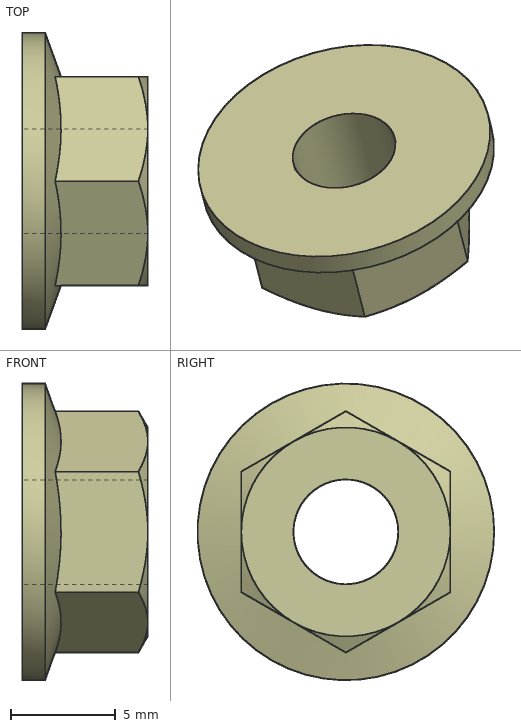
import cadquery as cq
import math

flange_diameter = 14.2
flange_rim_thickness = 1.1
flange_slope_angle = 20.0
nut_height = 6.0
across_flats = 10.0
chamfer_angle = 30.0
bore_diameter = 5.0

flange_radius = flange_diameter / 2
flat_radius = across_flats / 2
corner_radius = flat_radius / math.cos(math.radians(30))
bore_radius = bore_diameter / 2


def revolve_about_x(profile):
    """Turn a closed (x, radius) profile into a solid of revolution about X."""
    return cq.Workplane("XY").polyline(profile).close().revolve(360, (0, 0, 0), (1, 0, 0))


def make_flange():
    """Round flange whose conical back face rises towards the hexagon."""
    cone_rise = (flange_radius - bore_radius) * math.tan(math.radians(flange_slope_angle))
    cone_top = flange_rim_thickness + cone_rise
    return revolve_about_x([
        (0, 0),
        (0, flange_radius),
        (flange_rim_thickness, flange_radius),
        (cone_top, bore_radius),
        (cone_top, 0),
    ])


def make_hexagon():
    """Hexagon with corners on +Z and -Z, its outer end chamfered by a cone."""
    prism = (
        cq.Workplane("YZ")
        .transformed(rotate=(0, 0, 90))
        .polygon(6, 2 * corner_radius)
        .extrude(nut_height)
    )
    chamfer_depth = (corner_radius - flat_radius) * math.tan(math.radians(chamfer_angle))
    envelope = revolve_about_x([
        (0, 0),
        (0, corner_radius),
        (nut_height - chamfer_depth, corner_radius),
        (nut_height, flat_radius),
        (nut_height, 0),
    ])
    return prism.intersect(envelope)


bore = cq.Workplane("YZ").circle(bore_radius).extrude(nut_height)

result = make_flange().union(make_hexagon()).cut(bore)